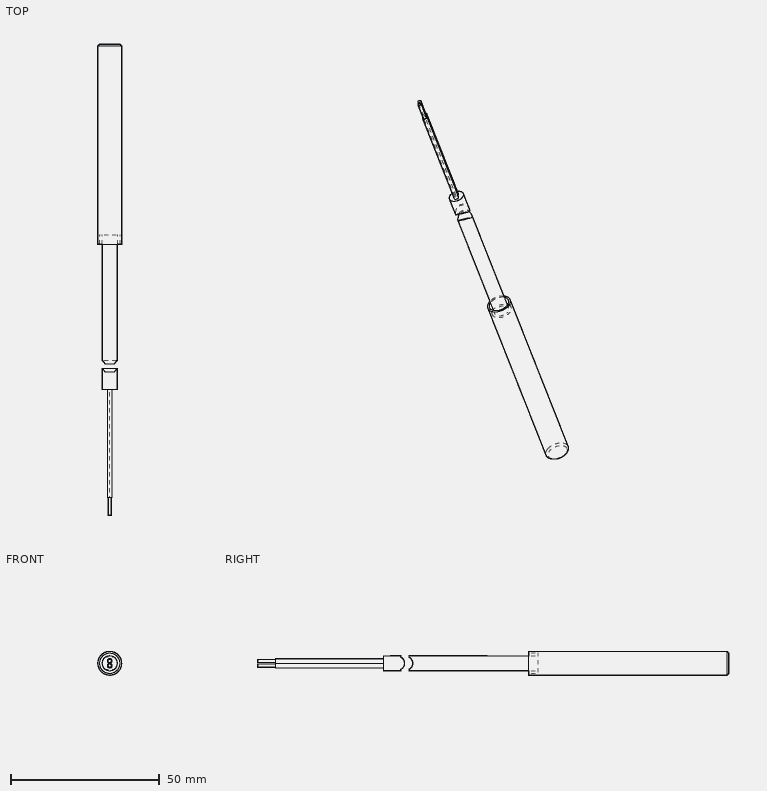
import cadquery as cq

total_length = 158.2
front_y = -total_length / 2
rear_y = total_length / 2

housing_diameter = 8.0
housing_length = 67.2
housing_chamfer = 0.6
recess_diameter = 6.8
recess_depth = 3.2
housing_face_y = rear_y - housing_length

cable_diameter = 5.0
cable_length = 40.2
break_depth = 1.3
break_width = 4.1
break_gap = 1.5
cable_end_y = housing_face_y - cable_length
recess_floor_y = housing_face_y + recess_depth

jacket_length = 7.1
wire_diameter = 1.6
conductor_diameter = 1.1
conductor_length = 6.0
jacket_rear_y = cable_end_y - break_gap
jacket_front_y = jacket_rear_y - jacket_length
wire_front_y = front_y + conductor_length


def rod(diameter, start_y, end_y, z=0.0):
    """Round rod parallel to Y, between two Y positions at height z."""
    return (
        cq.Workplane("XZ", origin=(0, start_y, z))
        .circle(diameter / 2)
        .extrude(start_y - end_y)
    )


def break_ridge(base_y):
    """Rounded ridge across the cable that rises from base_y toward +Y."""
    half_width = break_width / 2
    return (
        cq.Workplane("YZ")
        .moveTo(base_y, -half_width)
        .threePointArc((base_y + break_depth, 0), (base_y, half_width))
        .close()
        .extrude(cable_diameter, both=True)
    )


def make_housing():
    """Cylinder with a chamfered rear end and a round recess where the cable enters."""
    body = rod(housing_diameter, housing_face_y, rear_y).faces(">Y").chamfer(housing_chamfer)
    return body.cut(rod(recess_diameter, housing_face_y, recess_floor_y))


def make_cable():
    """Cable that starts on the recess floor and ends in a rounded notch."""
    return rod(cable_diameter, cable_end_y, recess_floor_y).cut(break_ridge(cable_end_y))


def make_cable_end():
    """Jacket with a ridged rear end and two stacked wires with bare conductors."""
    ridge_base_y = jacket_rear_y - break_depth
    ridge = rod(cable_diameter, ridge_base_y, jacket_rear_y).intersect(break_ridge(ridge_base_y))
    cable_end = rod(cable_diameter, jacket_front_y, ridge_base_y).union(ridge)
    for side in (-1, 1):
        wire_z = side * wire_diameter / 2
        cable_end = cable_end.union(rod(wire_diameter, wire_front_y, ridge_base_y, wire_z))
        cable_end = cable_end.union(rod(conductor_diameter, front_y, ridge_base_y, wire_z))
    return cable_end


housing = make_housing()
cable = make_cable()
cable_end = make_cable_end()

result = cq.Compound.makeCompound([housing.val(), cable.val(), cable_end.val()])